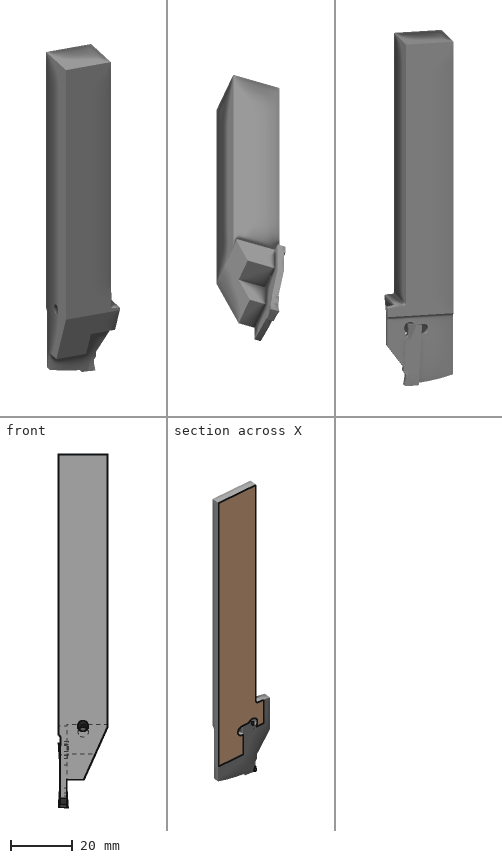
import cadquery as cq
import math


shank_size = 15.88
total_length = 114.3
head_depth = 19.05
head_bottom_z = 8.95
head_bottom_width = 8.2
head_taper_z = 26.0
head_back_depth = 10.5
jaw_root_z = 17.5

blade_depth = 21.88
blade_thickness = 2.75
jaw_flat_z = 27.1
jaw_slope_start_y = 18.05
jaw_slope = math.radians(10)
jaw_fillet = 0.75
jaw_nose_z = 13.9
jaw_tip_y = 16.4
jaw_tip_z = 6.4

blade_heel_z = 3.0
blade_arc_mid = (5.8, 1.65)
blade_toe = (11.3, 0.9)

relief_depth = 0.6
relief_top_z = 23.6
relief_fillet = 1.0

hole_diameter = 3.3
hole_z = 26.4
hole_slope = 15
hole_depth = 7.5

tip_y = 16.05
insert_tilt = 3
insert_length = 20.8
insert_width = 3.1
insert_body_side = 0.35
insert_seat_v = 4.6
insert_top_v = -0.65
end_relief = math.radians(5)
lead_angle = math.radians(4)
groove_depth = 0.25
groove_start_u = 2.2
groove_end_u = 3.8
groove_rise_u = 4.8
side_land_u = 5.1
side_land_v = 0.95
side_land_end_v = 2.8

pocket_end_z = 20.5
front_relief_center = (14.4, 19.5)
front_relief_radius = 1.9
seat_relief_center = (10.0, 18.8)
seat_relief_radius = 1.72


def to_insert_place(body):
    """Turn a body built with u on +Z and v on -Y from the origin into its tilted place."""
    return body.rotate((0, 0, 0), (1, 0, 0), insert_tilt).translate((0, tip_y, 0))


def side_prism(outline_uv, width):
    """Extrude an outline of (u, v) points along +X."""
    return cq.Workplane("YZ").polyline([(-v, u) for u, v in outline_uv]).close().extrude(width)


def thick_head_and_shank():
    front = (
        cq.Workplane("XZ")
        .moveTo(0, total_length)
        .lineTo(shank_size, total_length)
        .lineTo(shank_size, head_taper_z)
        .lineTo(head_bottom_width, head_bottom_z)
        .lineTo(0, head_bottom_z)
        .close()
        .extrude(-blade_depth)
    )
    jaw_end_z = jaw_flat_z - (head_depth - jaw_slope_start_y) * math.tan(jaw_slope)
    side = (
        cq.Workplane("YZ")
        .moveTo(0, total_length)
        .lineTo(shank_size, total_length)
        .lineTo(shank_size, jaw_flat_z + jaw_fillet)
        .radiusArc((shank_size + jaw_fillet, jaw_flat_z), -jaw_fillet)
        .lineTo(jaw_slope_start_y, jaw_flat_z)
        .lineTo(head_depth, jaw_end_z)
        .lineTo(head_depth, jaw_root_z)
        .lineTo(head_back_depth, jaw_root_z)
        .lineTo(head_back_depth, 0)
        .lineTo(0, 0)
        .close()
        .extrude(shank_size)
    )
    return front.intersect(side)


def blade():
    nose_top_z = jaw_flat_z - (blade_depth - jaw_slope_start_y) * math.tan(jaw_slope)
    return (
        cq.Workplane("YZ")
        .moveTo(0, jaw_flat_z)
        .lineTo(jaw_slope_start_y, jaw_flat_z)
        .lineTo(blade_depth, nose_top_z)
        .lineTo(blade_depth, jaw_nose_z)
        .lineTo(jaw_tip_y, jaw_tip_z)
        .lineTo(*blade_toe)
        .threePointArc(blade_arc_mid, (0, blade_heel_z))
        .close()
        .extrude(blade_thickness)
    )


def face_relief():
    chamfer = relief_depth - relief_fillet * (1 - math.cos(math.pi / 4))
    fillet_height = relief_fillet * math.sin(math.pi / 4)
    return (
        cq.Workplane("XZ")
        .moveTo(0, relief_top_z)
        .lineTo(chamfer, relief_top_z - chamfer)
        .radiusArc((relief_depth, relief_top_z - chamfer - fillet_height), relief_fillet)
        .lineTo(relief_depth, 0)
        .lineTo(0, 0)
        .close()
        .extrude(-blade_depth)
    )


def screw_hole():
    overrun = hole_diameter
    return (
        cq.Workplane("XZ")
        .circle(hole_diameter / 2)
        .extrude(-(hole_depth + overrun))
        .translate((0, -overrun, 0))
        .rotate((0, 0, 0), (1, 0, 0), -hole_slope)
        .translate((shank_size / 2, 0, hole_z))
    )


def insert_pocket():
    slot = to_insert_place(
        side_prism(
            [
                (-insert_length, insert_top_v),
                (2 * insert_length, insert_top_v),
                (2 * insert_length, insert_seat_v),
                (-insert_length, insert_seat_v),
            ],
            insert_width,
        )
    )
    below_end = cq.Workplane("XY").box(
        insert_width, blade_depth, 2 * pocket_end_z, centered=(False, False, True)
    )
    pocket = slot.intersect(below_end)
    for center, radius in (
        (front_relief_center, front_relief_radius),
        (seat_relief_center, seat_relief_radius),
    ):
        pocket = pocket.union(cq.Workplane("YZ").center(*center).circle(radius).extrude(insert_width))
    seat_y, seat_z = seat_relief_center
    corner = cq.Workplane("XY").box(
        insert_width, front_relief_center[0] - seat_y, pocket_end_z - seat_z, centered=False
    ).translate((0, seat_y, seat_z))
    return pocket.union(corner)


def build_holder():
    holder = thick_head_and_shank().union(blade())
    return holder.cut(face_relief()).cut(screw_hole()).cut(insert_pocket())


def insert_outline():
    """Side outline, the same at both ends."""
    lower_end = [
        (insert_seat_v * math.tan(end_relief), insert_seat_v),
        (0, 0),
        (groove_start_u, groove_depth),
        (groove_end_u, groove_depth),
        (groove_rise_u, insert_top_v),
    ]
    upper_end = [(insert_length - u, v) for u, v in reversed(lower_end)]
    return lower_end + upper_end


def lead_plan():
    """Plan of the insert across X: both cutting edges slant the same way."""
    slant = insert_width * math.tan(lead_angle)
    return (
        cq.Workplane("XZ")
        .moveTo(0, slant)
        .lineTo(insert_width, 0)
        .lineTo(insert_width, insert_length - slant)
        .lineTo(0, insert_length)
        .close()
        .extrude(blade_depth, both=True)
    )


def pyramid(base, apex):
    """Solid with a flat polygon base and one apex."""
    loops = [base] + [[base[i - 1], base[i], apex] for i in range(len(base))]
    faces = [cq.Face.makeFromWires(cq.Wire.makePolygon(loop, close=True)) for loop in loops]
    return cq.Workplane(cq.Solid.makeSolid(cq.Shell.makeShell(faces)))


def widened_land(end_u, direction, body_x, corner_x):
    """Flared side of one cutting edge, from the body side out to the cutting corner."""
    land_uv = [
        (0, insert_top_v),
        (side_land_u, insert_top_v),
        (side_land_u, side_land_v),
        (0, side_land_end_v),
    ]
    base = [cq.Vector(body_x, -v, end_u + direction * u) for u, v in land_uv]
    return pyramid(base, cq.Vector(corner_x, 0, end_u))


def build_insert():
    body_width = insert_width - 2 * insert_body_side
    full = side_prism(insert_outline(), insert_width).intersect(lead_plan())
    stock = cq.Workplane("XY").box(
        body_width, 2 * blade_depth, 2 * total_length
    ).translate((insert_width / 2, 0, 0))
    for end_u, direction in ((0, 1), (insert_length, -1)):
        for body_x, corner_x in (
            (insert_body_side, 0),
            (insert_width - insert_body_side, insert_width),
        ):
            stock = stock.union(widened_land(end_u, direction, body_x, corner_x))
    return to_insert_place(full.intersect(stock))


holder = build_holder()
insert = build_insert()

result = cq.Compound.makeCompound([holder.solids().val(), insert.solids().val()])